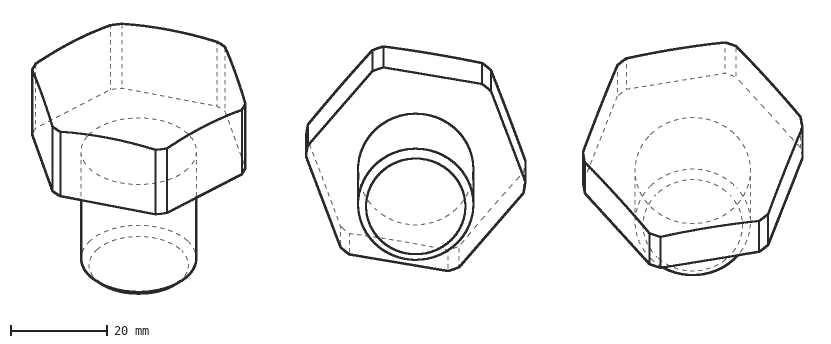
import cadquery as cq
import math

total_height = 49.0
across_flats = 41.0
across_corners = 46.0
head_height = 20.0
dome_radius = 75.95
shank_diameter = 24.0
tip_chamfer = 1.65

shank_length = total_height - head_height


def make_head():
    """Hexagon with its flats facing +X and -X, rounded corners and a domed top."""
    sharp_corners = across_flats / math.cos(math.radians(30))
    base = cq.Workplane("XY").workplane(offset=shank_length)
    hexagon = base.transformed(rotate=(0, 0, 30)).polygon(6, sharp_corners).extrude(head_height)
    corner_trim = base.circle(across_corners / 2).extrude(head_height)
    dome = cq.Workplane("XY").sphere(dome_radius).translate((0, 0, total_height - dome_radius))
    return hexagon.intersect(corner_trim).intersect(dome)


def make_shank():
    """Round shank with a chamfered lower end."""
    shank = cq.Workplane("XY").circle(shank_diameter / 2).extrude(shank_length)
    return shank.faces("<Z").chamfer(tip_chamfer)


result = make_head().union(make_shank())